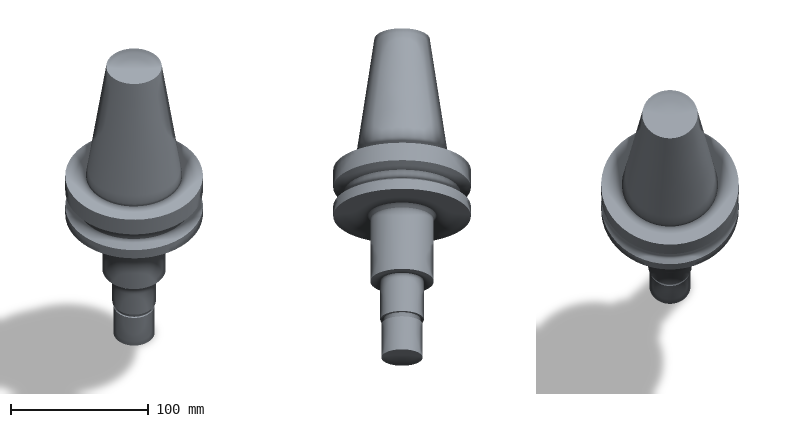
import cadquery as cq

total_height = 251.8
gauge_z = 149.8
flange_top_z = 148.3
flange_bottom_z = 111.8
hub_bottom_z = 60.2
relief_top_z = 30.0
relief_bottom_z = 26.2

tip_diameter = 40.3
gauge_diameter = 69.7
flange_diameter = 100.0
groove_diameter = 85.0
hub_diameter = 46.0
neck_diameter = 31.7
pilot_diameter = 30.0
relief_diameter = 27.5

groove_top_z = 134.5
groove_bottom_z = 119.5
groove_wall_height = 4.3

flare_height = 3.0
flare_width = 2.0

profile = [
    (0, 0),
    (pilot_diameter / 2, 0),
    (pilot_diameter / 2, relief_bottom_z),
    (relief_diameter / 2, relief_bottom_z),
    (relief_diameter / 2, relief_top_z),
    (neck_diameter / 2, relief_top_z),
    (neck_diameter / 2, hub_bottom_z),
    (hub_diameter / 2, hub_bottom_z),
    (hub_diameter / 2, flange_bottom_z - flare_height),
    (hub_diameter / 2 + flare_width, flange_bottom_z),
    (flange_diameter / 2, flange_bottom_z),
    (flange_diameter / 2, groove_bottom_z),
    (groove_diameter / 2, groove_bottom_z + groove_wall_height),
    (groove_diameter / 2, groove_top_z - groove_wall_height),
    (flange_diameter / 2, groove_top_z),
    (flange_diameter / 2, flange_top_z),
    (gauge_diameter / 2, flange_top_z),
    (gauge_diameter / 2, gauge_z),
    (tip_diameter / 2, total_height),
    (0, total_height),
]

result = cq.Workplane("XZ").polyline(profile).close().revolve(360, (0, 0, 0), (0, 1, 0))